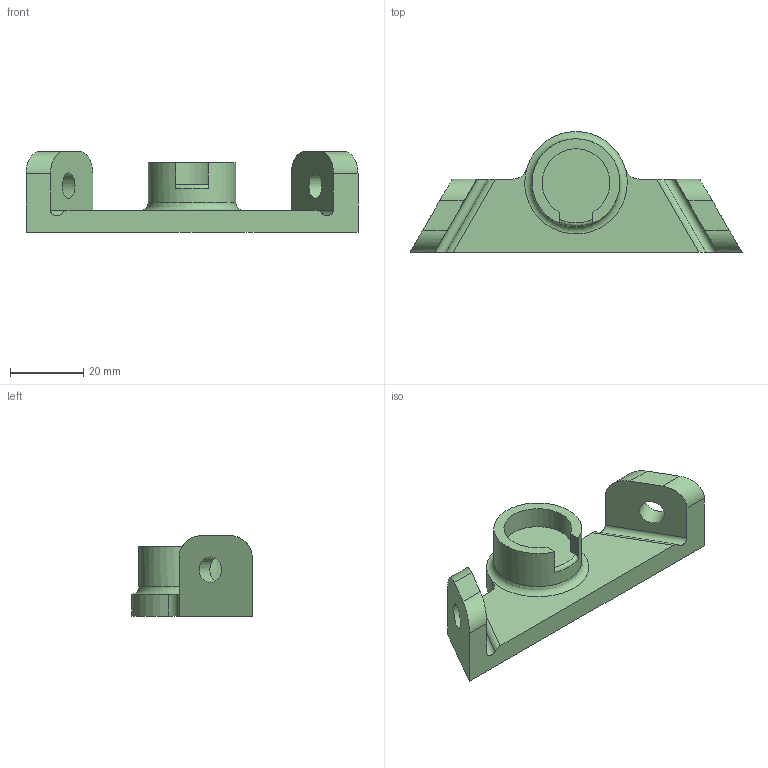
import cadquery as cq
import math

long_edge_length = 90.68
plate_depth = 20.0
plate_thickness = 6.0
end_slant = math.radians(30.0)

ear_height = 22.0
ear_thickness = 5.8
ear_corner_radius = 6.0
ear_hole_diameter = 7.0
ear_hole_height = 12.7
ear_hole_depth_position = plate_depth / 2

groove_radius = 1.5
groove_edge_radius = 2.0

boss_y = 19.0
boss_diameter = 24.0
boss_height = 19.0
boss_foot_radius = 2.0
boss_pad_radius = boss_diameter / 2 + boss_foot_radius
plate_blend_radius = 4.0
bore_diameter = 18.5
bore_floor_height = 13.0
slot_width = 9.0
slot_lip_radius = 1.0

half_length = long_edge_length / 2
end_shift = plate_depth * math.tan(end_slant)
ear_thickness_along_x = ear_thickness / math.cos(end_slant)
inner_foot_x = half_length - ear_thickness_along_x

inward = cq.Vector(-math.cos(end_slant), -math.sin(end_slant), 0)
along_ear = cq.Vector(-math.sin(end_slant), math.cos(end_slant), 0)


def make_plate():
    return (
        cq.Workplane("XY")
        .polyline(
            [
                (-half_length, 0),
                (half_length, 0),
                (half_length - end_shift, plate_depth),
                (end_shift - half_length, plate_depth),
            ]
        )
        .close()
        .extrude(plate_thickness)
    )


def make_pad():
    """Round pad under the boss, blended into the back edge of the plate."""
    blend_y = plate_depth + plate_blend_radius
    center_distance = boss_pad_radius + plate_blend_radius
    blend_x = math.sqrt(center_distance**2 - (blend_y - boss_y) ** 2)
    tangent_share = boss_pad_radius / center_distance
    tangent_x = blend_x * tangent_share
    tangent_y = boss_y + (blend_y - boss_y) * tangent_share

    pad = cq.Workplane("XY").center(0, boss_y).circle(boss_pad_radius).extrude(plate_thickness)
    webs = (
        cq.Workplane("XY")
        .polyline(
            [
                (-blend_x, boss_y),
                (blend_x, boss_y),
                (blend_x, plate_depth),
                (tangent_x, tangent_y),
                (-tangent_x, tangent_y),
                (-blend_x, plate_depth),
            ]
        )
        .close()
        .extrude(plate_thickness)
    )
    blend_cuts = (
        cq.Workplane("XY")
        .pushPoints([(-blend_x, blend_y), (blend_x, blend_y)])
        .circle(plate_blend_radius)
        .extrude(plate_thickness)
    )
    return pad.union(webs.cut(blend_cuts))


def make_right_ear():
    """Slanted wall with its two top corners rounded about axes along X."""
    wall = (
        cq.Workplane("XY")
        .polyline(
            [
                (inner_foot_x, 0),
                (half_length, 0),
                (half_length - end_shift, plate_depth),
                (inner_foot_x - end_shift, plate_depth),
            ]
        )
        .close()
        .extrude(ear_height)
    )
    rounded_outline = (
        cq.Workplane("YZ")
        .rect(plate_depth, ear_height, centered=False)
        .extrude(half_length)
        .edges("|X and >Z")
        .fillet(ear_corner_radius)
    )
    return wall.intersect(rounded_outline)


def make_right_ear_hole():
    """Cylinder square to the ear, centred in its thickness."""
    hole_x = (half_length + inner_foot_x) / 2 - ear_hole_depth_position * math.tan(end_slant)
    hole_middle = cq.Vector(hole_x, ear_hole_depth_position, ear_hole_height)
    start = hole_middle - inward * ear_thickness
    return cq.Workplane(
        cq.Solid.makeCylinder(ear_hole_diameter / 2, 2 * ear_thickness, start, inward)
    )


def make_right_groove():
    """Round relief touching the ear's inner face, rolling out onto the plate top."""
    edge_run = math.sqrt((groove_radius + groove_edge_radius) ** 2 - groove_edge_radius**2)
    roll_out = groove_radius + edge_run
    meet_share = groove_radius / (groove_radius + groove_edge_radius)
    meeting_point = (groove_radius + edge_run * meet_share, -groove_edge_radius * meet_share)
    edge_mid_angle = (math.pi / 2 + math.atan2(groove_edge_radius, -edge_run)) / 2
    edge_middle = (
        roll_out + groove_edge_radius * math.cos(edge_mid_angle),
        groove_edge_radius * (math.sin(edge_mid_angle) - 1),
    )
    groove_half_run = 2 * plate_depth
    section_plane = cq.Plane(
        origin=(inner_foot_x, 0, plate_thickness), xDir=inward, normal=along_ear
    )
    return (
        cq.Workplane(section_plane)
        .moveTo(0, 0)
        .threePointArc((groove_radius, -groove_radius), meeting_point)
        .threePointArc(edge_middle, (roll_out, 0))
        .close()
        .extrude(groove_half_run, both=True)
    )


def make_boss():
    """Boss above the pad, with a concave flare at its foot."""
    boss_radius = boss_diameter / 2
    flare_top = plate_thickness + boss_foot_radius
    flare_sag = boss_foot_radius * (1 - math.sqrt(0.5))
    return (
        cq.Workplane("XZ", origin=(0, boss_y, 0))
        .moveTo(0, plate_thickness)
        .lineTo(boss_pad_radius, plate_thickness)
        .threePointArc(
            (boss_radius + flare_sag, plate_thickness + flare_sag), (boss_radius, flare_top)
        )
        .lineTo(boss_radius, boss_height)
        .lineTo(0, boss_height)
        .close()
        .revolve(360, (0, 0), (0, 1))
    )


def make_boss_pocket():
    """Blind bore and front slot, with the slot floor rounded down to the boss wall."""
    pocket_depth = boss_height - bore_floor_height
    boss_radius = boss_diameter / 2
    bore = (
        cq.Workplane("XY", origin=(0, boss_y, bore_floor_height))
        .circle(bore_diameter / 2)
        .extrude(pocket_depth)
    )
    slot_prism = (
        cq.Workplane("XY", origin=(0, boss_y - boss_radius, 0))
        .box(slot_width, boss_radius, boss_height, centered=(True, False, False))
    )
    rounded_floor = (
        cq.Workplane("XY", origin=(0, boss_y, 0))
        .circle(boss_radius)
        .extrude(bore_floor_height)
        .faces(">Z")
        .edges()
        .fillet(slot_lip_radius)
    )
    slot_bottom = bore_floor_height - slot_lip_radius
    above_lip = (
        cq.Workplane("XY", origin=(0, boss_y, slot_bottom))
        .circle(boss_radius)
        .extrude(boss_height - slot_bottom)
    )
    return bore.union(slot_prism.intersect(above_lip).cut(rounded_floor))


def on_both_ends(right_feature):
    return right_feature.union(right_feature.mirror("YZ"))


body = make_plate().union(make_pad()).cut(on_both_ends(make_right_groove()))
body = body.union(on_both_ends(make_right_ear())).cut(on_both_ends(make_right_ear_hole()))
result = body.union(make_boss()).cut(make_boss_pocket())